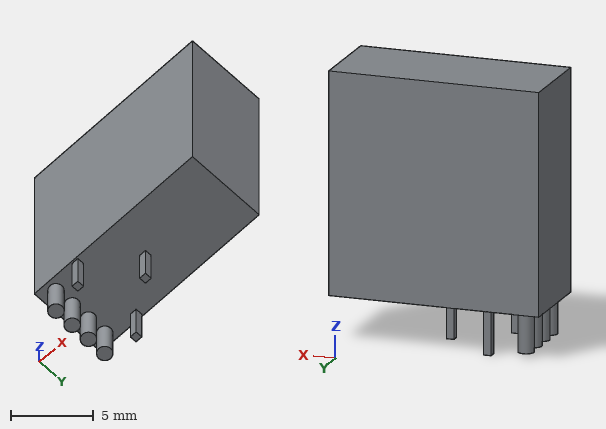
import cadquery as cq

body_length = 13.54
body_width = 5.73
overall_height = 16.99

round_pin_diameter = 1.0
round_pin_length = 2.5
round_pin_x = 1.09
round_pin_pitch = 1.4
round_pin_count = 4

square_pin_side = 0.5
square_pin_length = 2.79
outer_pin_x = 3.36
centre_pin_x = 6.66
outer_pin_offset = 2.5

body_height = overall_height - square_pin_length
centre_y = body_width / 2
pin_overlap = 0.17

round_row_start = centre_y - round_pin_pitch * (round_pin_count - 1) / 2
round_pin_points = [
    (round_pin_x, round_row_start + i * round_pin_pitch) for i in range(round_pin_count)
]
square_pin_points = [
    (outer_pin_x, centre_y - outer_pin_offset),
    (centre_pin_x, centre_y),
    (outer_pin_x, centre_y + outer_pin_offset),
]

body = cq.Workplane("XY").box(body_length, body_width, body_height, centered=False)
pin_plane = cq.Workplane("XY").workplane(offset=pin_overlap)

round_pins = (
    pin_plane.pushPoints(round_pin_points)
    .circle(round_pin_diameter / 2)
    .extrude(-(round_pin_length + pin_overlap))
)
square_pins = (
    pin_plane.pushPoints(square_pin_points)
    .rect(square_pin_side, square_pin_side)
    .extrude(-(square_pin_length + pin_overlap))
)

result = body.union(round_pins).union(square_pins)